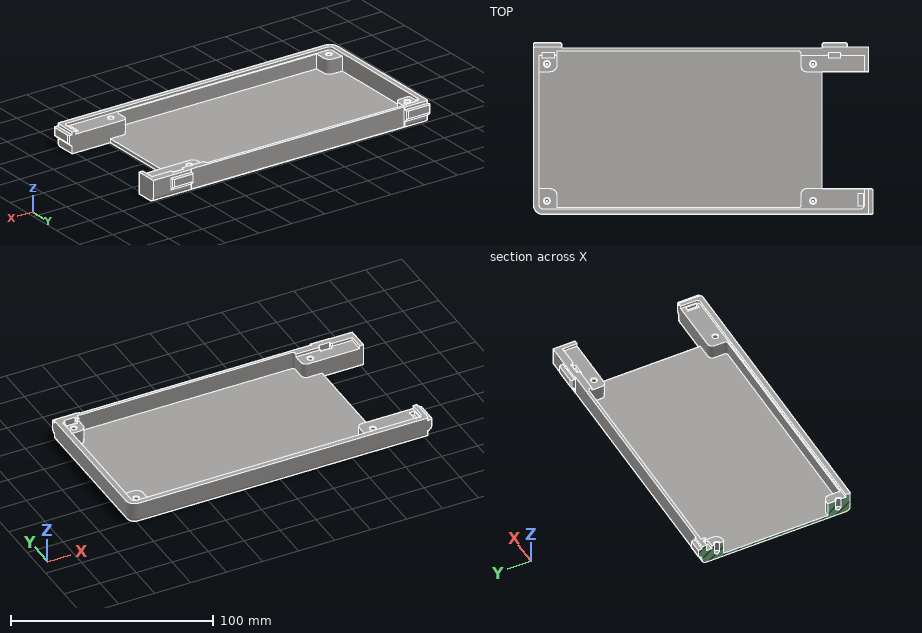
import cadquery as cq
import math

LENGTH = 168.0
WIDTH = 85.0
HEIGHT = 12.0

TAB_REACH = 2.2
BODY_X = LENGTH - TAB_REACH
BODY_Y = WIDTH - TAB_REACH
OUTER_CORNER_RADIUS = 4.7
BOTTOM_EDGE_RADIUS = 2.5
END_CORNER_CHAMFER = 0.7

RELIEF_START_X = 14.1
RELIEF_END_X = 142.8
RELIEF_DEPTH = 0.5

FLOOR_THICKNESS = 2.2
SIDE_WALL = 2.9
CAVITY_FRONT_Y = 3.4
CAVITY_BACK_Y = 80.8
CAVITY_END_X = 132.4
CAVITY_CORNER_RADIUS = 1.3

FRONT_SHELF_Y = 12.8
BACK_SHELF_Y = 70.5
BOSS_END_X = 11.8
BOSS_CORNER_RADIUS = 3.5
ARM_CORNER_RADIUS = 2.7

RECESS_DEPTH = 1.7
RECESS_FRONT_Y = 2.7
RECESS_BACK_Y = 78.6
RECESS_END_X = BODY_X - TAB_REACH
RECESS_CORNER_RADIUS = 2.0
SHELF_Z = HEIGHT - RECESS_DEPTH

HOLE_MOUTH_DIAMETER = 3.4
HOLE_DIAMETER = 2.7
HOLE_POINT_DIAMETER = 0.5
HOLE_DEPTH = 5.9
HOLE_XS = (6.7, 138.3)
HOLE_YS = (6.7, 74.5)

TAB_DROP = 1.5
TAB_TOP_Z = HEIGHT - TAB_DROP
TAB_FACE_BOTTOM_Z = 6.2
TAB_END_CHAMFER = 0.7
BACK_RIGHT_TAB_END_X = 155.2

SLOT_LENGTH = 6.0
SLOT_WIDTH = 2.7
SLOT_SETBACK = 4.9
SLOT_DEPTH = 3.7
SLOT_MOUTH_CHAMFER = 0.7
BACK_SLOT_CENTER_XS = (7.4, 148.8)
END_SLOT_CENTER_Y = 7.2

PICK_MARGIN = 0.2


def block(x0, x1, y0, y1, z0, z1):
    """Axis-aligned box between two opposite corners."""
    return cq.Workplane("XY").box(x1 - x0, y1 - y0, z1 - z0, centered=False).translate((x0, y0, z0))


def make_corner_cut():
    """Square bar turned 45 degrees about the Z axis, for chamfering an upright corner."""
    side = END_CORNER_CHAMFER * math.sqrt(2)
    return cq.Workplane("XY").rect(side, side).extrude(HEIGHT).rotate((0, 0, 0), (0, 0, 1), 45)


def make_body():
    """Solid blank with rounded front-left corner and rounded bottom edges."""
    body = block(0, BODY_X, 0, BODY_Y, 0, HEIGHT)
    body = body.edges("|Z and <X and <Y").fillet(OUTER_CORNER_RADIUS)
    bottom_edges = body.faces("<Z").edges("not(>X)")
    body = bottom_edges.fillet(BOTTOM_EDGE_RADIUS)
    front_end_corner = make_corner_cut().translate((BODY_X, 0, 0))
    back_left_corner = make_corner_cut().translate((0, BODY_Y, 0))
    return body.cut(front_end_corner).cut(back_left_corner)


def make_cavity():
    """Central pocket, leaving the two left bosses and the two arms standing."""
    cavity = block(SIDE_WALL, CAVITY_END_X, CAVITY_FRONT_Y, CAVITY_BACK_Y, FLOOR_THICKNESS, HEIGHT)
    cavity = cavity.edges("|Z and >X").fillet(CAVITY_CORNER_RADIUS)
    front_boss = block(0, BOSS_END_X, 0, FRONT_SHELF_Y, 0, HEIGHT)
    front_boss = front_boss.edges("|Z and >X and >Y").fillet(BOSS_CORNER_RADIUS)
    back_boss = block(0, BOSS_END_X, BACK_SHELF_Y, BODY_Y, 0, HEIGHT)
    back_boss = back_boss.edges("|Z and >X and <Y").fillet(BOSS_CORNER_RADIUS)
    return cavity.cut(front_boss).cut(back_boss)


def make_arm_gap():
    """Space between the arms: open above the floor, then right through beyond the floor's end."""
    middle = block(CAVITY_END_X, BODY_X, FRONT_SHELF_Y, BACK_SHELF_Y, FLOOR_THICKNESS, HEIGHT)
    beyond_floor = block(RELIEF_END_X, BODY_X, FRONT_SHELF_Y, BACK_SHELF_Y, 0, HEIGHT)
    return middle.union(beyond_floor)


def make_recess():
    """Shallow recess over the shelves, inside the rim."""
    recess = block(SIDE_WALL, RECESS_END_X, RECESS_FRONT_Y, RECESS_BACK_Y, SHELF_Z, HEIGHT)
    return recess.edges("|Z and <Y").fillet(RECESS_CORNER_RADIUS)


def make_hole(x, y):
    """Blind screw hole with a 45 degree countersunk mouth and a blunt 45 degree point."""
    mouth_radius = HOLE_MOUTH_DIAMETER / 2
    radius = HOLE_DIAMETER / 2
    point_radius = HOLE_POINT_DIAMETER / 2
    cone_top_z = SHELF_Z - HOLE_DEPTH
    point_z = cone_top_z - (radius - point_radius)
    profile = [
        (0, SHELF_Z),
        (mouth_radius, SHELF_Z),
        (radius, SHELF_Z - (mouth_radius - radius)),
        (radius, cone_top_z),
        (point_radius, point_z),
        (0, point_z),
    ]
    hole = cq.Workplane("XZ").polyline(profile).close().revolve(360, (0, 0), (0, 1))
    return hole.translate((x, y, 0))


def make_tab(length):
    """Tab along +X from the origin, reaching toward +Y, with a 45 degree underside.

    Its root sinks into the wall to fill a chamfered corner behind it.
    """
    profile = [
        (-END_CORNER_CHAMFER, TAB_TOP_Z),
        (TAB_REACH, TAB_TOP_Z),
        (TAB_REACH, TAB_FACE_BOTTOM_Z),
        (0, TAB_FACE_BOTTOM_Z - TAB_REACH),
        (-END_CORNER_CHAMFER, TAB_FACE_BOTTOM_Z - TAB_REACH),
    ]
    tab = cq.Workplane("YZ").polyline(profile).close().extrude(length)
    return tab.edges("|Z and >Y").chamfer(TAB_END_CHAMFER)


def make_slot(center_x, center_y, size_x, size_y):
    """Blind rectangular slot cut down from the rim."""
    half_x = size_x / 2
    half_y = size_y / 2
    return block(
        center_x - half_x, center_x + half_x,
        center_y - half_y, center_y + half_y,
        HEIGHT - SLOT_DEPTH, HEIGHT,
    )


result = make_body()
result = result.cut(make_cavity()).cut(make_arm_gap())
arm_corners = cq.selectors.BoxSelector(
    (CAVITY_END_X - PICK_MARGIN, FRONT_SHELF_Y - PICK_MARGIN, FLOOR_THICKNESS),
    (CAVITY_END_X + PICK_MARGIN, BACK_SHELF_Y + PICK_MARGIN, HEIGHT),
)
result = result.edges("|Z").edges(arm_corners).fillet(ARM_CORNER_RADIUS)
result = result.cut(make_recess())
result = result.cut(block(RELIEF_START_X, RELIEF_END_X, BODY_Y - RELIEF_DEPTH, BODY_Y, 0, HEIGHT))

for hole_x in HOLE_XS:
    for hole_y in HOLE_YS:
        result = result.cut(make_hole(hole_x, hole_y))

result = result.union(make_tab(RELIEF_START_X).translate((0, BODY_Y, 0)))
back_right_tab = make_tab(BACK_RIGHT_TAB_END_X - RELIEF_END_X)
result = result.union(back_right_tab.translate((RELIEF_END_X, BODY_Y, 0)))
end_tab = make_tab(FRONT_SHELF_Y).rotate((0, 0, 0), (0, 0, 1), -90)
result = result.union(end_tab.translate((BODY_X, FRONT_SHELF_Y, 0)))

slot_offset = SLOT_SETBACK + SLOT_WIDTH / 2
for slot_x in BACK_SLOT_CENTER_XS:
    result = result.cut(make_slot(slot_x, WIDTH - slot_offset, SLOT_LENGTH, SLOT_WIDTH))
    mouth_corners = cq.selectors.BoxSelector(
        (slot_x - SLOT_LENGTH / 2 - PICK_MARGIN, RECESS_BACK_Y - PICK_MARGIN, SHELF_Z),
        (slot_x + SLOT_LENGTH / 2 + PICK_MARGIN, RECESS_BACK_Y + PICK_MARGIN, HEIGHT),
    )
    result = result.edges("|Z").edges(mouth_corners).chamfer(SLOT_MOUTH_CHAMFER)
result = result.cut(make_slot(LENGTH - slot_offset, END_SLOT_CENTER_Y, SLOT_WIDTH, SLOT_LENGTH))